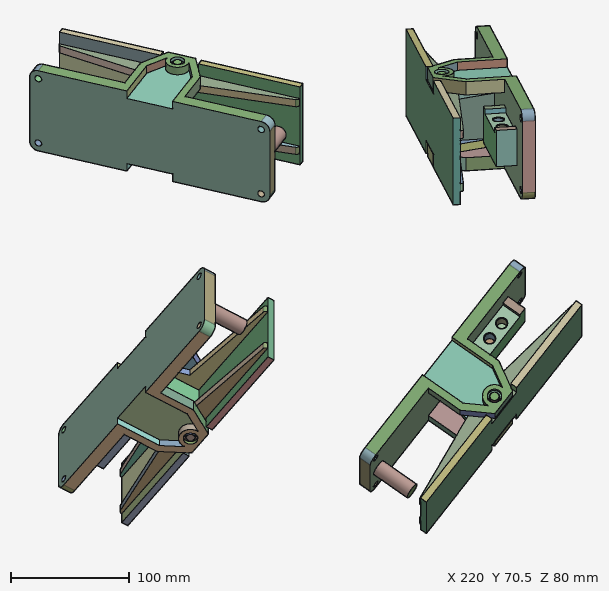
import cadquery as cq
import math


base_length = 219.5
base_height = 80.0
base_thickness = 11.2
corner_radius = 8.0
mount_hole_diameter = 6.0

upright_half_width = 27.5
upright_thickness = 11.9
shoulder_y = 44.5
crown_half_width = 12.5
crown_y = 69.7
pocket_wall = 6.5
pocket_depth = 7.5

pivot_y = 60.0
boss_radius = 10.1
counterbore_diameter = 12.0
counterbore_depth = 3.3
pivot_hole_diameter = 9.0
pin_diameter = 7.5
pin_setback = 1.0

block_left = -85.1
block_end_length = 7.3
block_recess_length = 45.0
block_top_y = 29.0
block_height = 32.5
block_recess_depth = 4.5
screw_hole_diameter = 9.0
screw_hole_chamfer = 0.7
screw_hole_depth = 13.2
screw_hole_xs = (-64.0, -47.0)

post_diameter = 14.0
post_x = 98.1
post_top_y = 46.5

outer_top_y = 70.5
plate_thickness = 6.2
plate_height = 77.9
plate_overhang = 0.5
notch_half_width = 17.4
rib_clearance = 0.9
rib_thickness = 7.0
rib_tip_y = 61.5
rib_root_y = 48.8
rib_tip_radius = 2.9
tail_root_half_width = 15.5
tail_end_half_width = 6.2
tail_end_y = 16.0

half_length = base_length / 2
half_height = base_height / 2
upright_inner_z = half_height - upright_thickness
rib_outer_z = upright_inner_z - rib_clearance
rib_inner_z = rib_outer_z - rib_thickness
plate_under_y = outer_top_y - plate_thickness


def box(x0, x1, y0, y1, z0, z1):
    """Axis-aligned block between two opposite corners."""
    return cq.Workplane("XY").box(x1 - x0, y1 - y0, z1 - z0, centered=False).translate((x0, y0, z0))


def disc(diameter, x, y, z0, z1):
    """Cylinder along Z."""
    return cq.Workplane("XY", origin=(x, y, z0)).circle(diameter / 2).extrude(z1 - z0)


def both_ends(shape):
    """A shape together with its mirror image about the middle plane Z = 0."""
    return shape.union(shape.mirror("XY"))


def base_plate():
    plate = box(-half_length, half_length, 0, base_thickness, -half_height, half_height)
    plate = plate.edges("|Y").fillet(corner_radius)
    holes = (
        cq.Workplane("XZ")
        .rect(base_length - 2 * corner_radius, base_height - 2 * corner_radius, forConstruction=True)
        .vertices()
        .circle(mount_hole_diameter / 2)
        .extrude(-base_thickness)
    )
    return plate.cut(holes)


def house_outline(wall):
    """Upright outline set inward by wall along its sides and slopes, from Y = 0 to the crown."""
    slope_run = upright_half_width - crown_half_width
    slope_rise = crown_y - shoulder_y
    slope_angle = math.atan2(slope_run, slope_rise)
    half_width = upright_half_width - wall
    shoulder = shoulder_y - wall * math.tan(slope_angle / 2)
    crown = crown_y - wall
    crown_half = half_width - (crown - shoulder) * slope_run / slope_rise
    return [
        (-half_width, 0),
        (half_width, 0),
        (half_width, shoulder),
        (crown_half, crown),
        (-crown_half, crown),
        (-half_width, shoulder),
    ]


def upright():
    return (
        cq.Workplane("XY", origin=(0, 0, upright_inner_z))
        .polyline(house_outline(0))
        .close()
        .extrude(upright_thickness)
    )


def upright_pocket():
    """Pocket open at the mounting face, leaving a round boss around the pivot."""
    floor_z = half_height - pocket_depth
    pocket = (
        cq.Workplane("XY", origin=(0, 0, floor_z))
        .polyline(house_outline(pocket_wall))
        .close()
        .extrude(pocket_depth)
    )
    return pocket.cut(disc(2 * boss_radius, 0, pivot_y, floor_z, half_height))


def pivot_hole():
    """Hole through one upright, counterbored from its outer face."""
    hole = disc(pivot_hole_diameter, 0, pivot_y, upright_inner_z, half_height)
    counterbore_floor_z = half_height - counterbore_depth
    return hole.union(disc(counterbore_diameter, 0, pivot_y, counterbore_floor_z, half_height))


def mounting_block():
    recess_left = block_left + block_end_length
    recess_right = recess_left + block_recess_length
    block_right = recess_right + block_end_length
    top_z = block_height / 2
    recess_z = top_z - block_recess_depth
    block = box(block_left, block_right, base_thickness, block_top_y, -top_z, top_z)
    block = block.cut(box(recess_left, recess_right, base_thickness, block_top_y, recess_z, top_z))
    hole_y = (base_thickness + block_top_y) / 2
    hole_radius = screw_hole_diameter / 2
    for x in screw_hole_xs:
        block = block.cut(disc(screw_hole_diameter, x, hole_y, recess_z - screw_hole_depth, recess_z))
        countersink = cq.Solid.makeCone(
            hole_radius,
            hole_radius + screw_hole_chamfer,
            screw_hole_chamfer,
            cq.Vector(x, hole_y, recess_z - screw_hole_chamfer),
        )
        block = block.cut(cq.Workplane(countersink))
    return block


def stop_post():
    return (
        cq.Workplane("XZ", origin=(post_x, base_thickness, 0))
        .circle(post_diameter / 2)
        .extrude(base_thickness - post_top_y)
    )


def make_base():
    base = base_plate().union(both_ends(upright()))
    base = base.cut(both_ends(upright_pocket()))
    base = base.cut(both_ends(pivot_hole()))
    return base.union(mounting_block()).union(stop_post())


def rocker_plate():
    half_plate = plate_height / 2
    plate = box(
        -half_length, half_length + plate_overhang, plate_under_y, outer_top_y, -half_plate, half_plate
    )
    notch = box(
        -notch_half_width, notch_half_width, plate_under_y, outer_top_y, rib_outer_z, half_plate
    )
    return plate.cut(both_ends(notch))


def rib():
    """Tapered rib under the plate, running down into the tail below the pivot."""
    outline = [
        (-half_length, plate_under_y),
        (-half_length, rib_tip_y),
        (-tail_root_half_width, rib_root_y),
        (-tail_end_half_width, tail_end_y),
        (tail_end_half_width, tail_end_y),
        (tail_root_half_width, rib_root_y),
        (half_length, rib_tip_y),
        (half_length, plate_under_y),
    ]
    blank = cq.Workplane("XY", origin=(0, 0, rib_inner_z)).polyline(outline).close().extrude(rib_thickness)
    tips = cq.selectors.BoxSelector(
        (-base_length, rib_tip_y - rib_tip_radius / 2, 0),
        (base_length, rib_tip_y + rib_tip_radius / 2, base_height),
    )
    return blank.edges("|Z").edges(tips).fillet(rib_tip_radius)


def pivot_pin():
    pin_end_z = half_height - pin_setback
    return disc(pin_diameter, 0, pivot_y, rib_outer_z, pin_end_z)


def tail_web():
    """Flat wall that joins the two ribs from the plate down to the tail end."""
    return box(
        -tail_end_half_width, tail_end_half_width, tail_end_y, plate_under_y, -rib_inner_z, rib_inner_z
    )


def make_rocker():
    return rocker_plate().union(both_ends(rib())).union(tail_web()).union(both_ends(pivot_pin()))


base = make_base()
rocker = make_rocker()

result = cq.Compound.makeCompound([base.val(), rocker.val()])